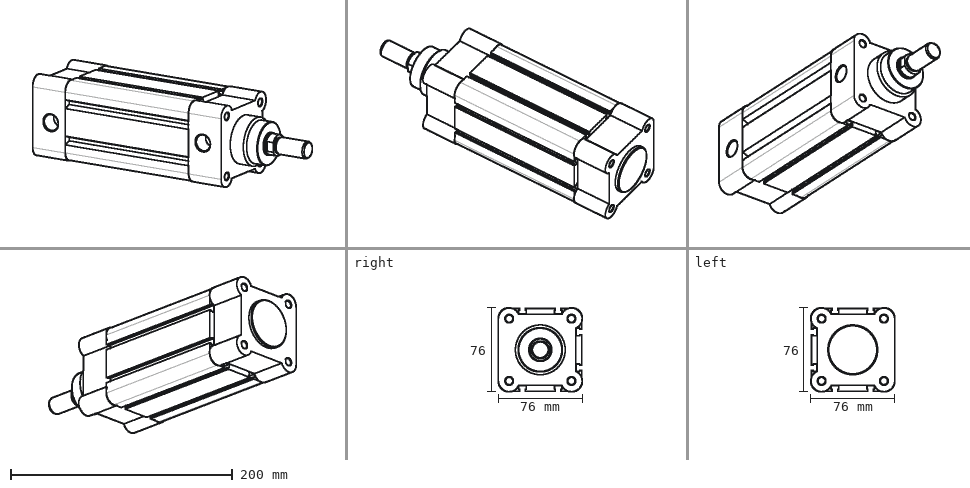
import cadquery as cq


boss_length = 3.5
cap_length = 34.8
tube_length = 131.8
collar_length = 14.0
collar_taper_length = 2.0
nose_length = 11.5
overall_length = 274.0
tube_start = boss_length + cap_length
front_cap_start = tube_start + tube_length
front_cap_end = front_cap_start + cap_length
collar_end = front_cap_end + collar_length
nose_start = collar_end + collar_taper_length
nose_end = nose_start + nose_length

cap_width = 76.0
cap_corner_radius = 9.5
recess_depth = 6.0
boss_radius = 22.5
boss_chamfer = 0.8
nose_radius = 20.0
nose_chamfer = 0.5
bolt_spacing = 56.2
bolt_hole_diameter = 6.5
bolt_hole_depth = 16.5
bolt_hole_chamfer = 0.5
port_diameter = 14.8
port_depth = 16.5
port_chamfer = 0.8
port_inset = 15.3
port_offset = 2.5

tube_width = 74.8
tube_corner_radius = 9.0
t_slot_offset = 16.2
t_slot_mouth_width = 5.0
t_slot_inner_width = 6.5
t_slot_lip = 2.0
t_slot_depth = 5.0
tapered_slot_offset = 17.0
tapered_slot_mouth_width = 8.2
tapered_slot_floor_width = 3.3
tapered_slot_depth = 6.0

flange_length = 1.6
flange_taper_length = 0.8
flange_radius = 10.5
shank_length = 7.5
shank_radius = 10.0
flat_length = 6.3
across_flats = 17.5
neck_length = 1.6
neck_radius = 7.0
thread_radius = 8.0
thread_start_chamfer_length = 0.8
tip_chamfer_length = 1.6
tip_chamfer_height = 0.8
flange_end = nose_end + flange_length
shank_start = flange_end + flange_taper_length
shank_end = shank_start + shank_length
neck_end = shank_end + neck_length


def section_at(x):
    """Workplane across the axis at x, with local axes Y and Z and its normal along +X."""
    return cq.Workplane("YZ", origin=(x, 0, 0))


def disc(x_start, x_end, radius):
    return section_at(x_start).circle(radius).extrude(x_end - x_start)


def revolve_about_axis(points):
    """Turn a closed (x, radius) outline about the X axis."""
    return cq.Workplane("XY").polyline(points).close().revolve(360, (0, 0, 0), (1, 0, 0))


def make_cap_block(x_start):
    """Square cap recessed between round corner lugs on every side except -Y."""
    half = cap_width / 2
    lug_centre = half - cap_corner_radius
    floor = half - recess_depth
    lug_span = 2 * lug_centre
    block = section_at(x_start).rect(2 * floor, 2 * floor).extrude(cap_length)
    lugs = section_at(x_start).rect(lug_span, lug_span, forConstruction=True).vertices()
    lugs = lugs.circle(cap_corner_radius).extrude(cap_length)
    port_wall = section_at(x_start).center(-(half + floor) / 2, 0).rect(recess_depth, lug_span)
    port_wall = port_wall.extrude(cap_length)
    return block.union(lugs).union(port_wall)


def chamfered_hole(face_plane, diameter, depth, chamfer):
    """Cutter for a blind hole at the origin of a plane whose normal points out of the face."""
    hole = face_plane.circle(diameter / 2).extrude(-depth)
    mouth = face_plane.circle(diameter / 2 + chamfer).extrude(-chamfer, taper=45)
    return hole.union(mouth)


def cut_bolt_holes(cap, face_x, outward):
    """Cut the four corner holes into the end face at face_x; outward is +1 or -1 along X."""
    half = bolt_spacing / 2
    for y in (-half, half):
        for z in (-half, half):
            face_plane = cq.Workplane(cq.Plane((face_x, y, z), (0, 1, 0), (outward, 0, 0)))
            hole = chamfered_hole(face_plane, bolt_hole_diameter, bolt_hole_depth, bolt_hole_chamfer)
            cap = cap.cut(hole)
    return cap


def cut_port(cap, x, z):
    """Cut the air port into the -Y face."""
    face_plane = cq.Workplane("XZ", origin=(x, -cap_width / 2, z))
    return cap.cut(chamfered_hole(face_plane, port_diameter, port_depth, port_chamfer))


def make_rear_cap():
    cap = make_cap_block(boss_length)
    cap = cut_bolt_holes(cap, boss_length, -1)
    cap = cut_port(cap, tube_start - port_inset, -port_offset)
    boss = disc(0, boss_length, boss_radius).faces("<X").chamfer(boss_chamfer)
    return cap.union(boss)


def make_front_cap():
    cap = make_cap_block(front_cap_start)
    cap = cut_bolt_holes(cap, front_cap_end, 1)
    cap = cut_port(cap, front_cap_start + port_inset, port_offset)
    collar = revolve_about_axis([
        (front_cap_end, 0),
        (front_cap_end, boss_radius),
        (collar_end, boss_radius),
        (nose_start, nose_radius),
        (nose_end - nose_chamfer, nose_radius),
        (nose_end, nose_radius - nose_chamfer),
        (nose_end, 0),
    ])
    return cap.union(collar)


def t_slot_cutter(offset):
    """T-slot in the +Z side of the tube, at the given Y."""
    top = tube_width / 2
    mouth = section_at(tube_start).center(offset, top - t_slot_depth / 2)
    mouth = mouth.rect(t_slot_mouth_width, t_slot_depth).extrude(tube_length)
    inner_height = t_slot_depth - t_slot_lip
    inner = section_at(tube_start).center(offset, top - t_slot_depth + inner_height / 2)
    inner = inner.rect(t_slot_inner_width, inner_height).extrude(tube_length)
    return mouth.union(inner)


def tapered_slot_cutter(offset):
    """Slot in the -Y side of the tube, at the given Z, narrowing towards its floor."""
    face = -tube_width / 2
    floor = face + tapered_slot_depth
    half_mouth = tapered_slot_mouth_width / 2
    half_floor = tapered_slot_floor_width / 2
    outline = [
        (face, offset - half_mouth),
        (face, offset + half_mouth),
        (floor, offset + half_floor),
        (floor, offset - half_floor),
    ]
    return section_at(tube_start).polyline(outline).close().extrude(tube_length)


def make_tube():
    tube = section_at(tube_start).rect(tube_width, tube_width).extrude(tube_length)
    tube = tube.edges("|X").fillet(tube_corner_radius)
    for side_angle in (0, -90, 180):
        for offset in (-t_slot_offset, t_slot_offset):
            cutter = t_slot_cutter(offset).rotate((0, 0, 0), (1, 0, 0), side_angle)
            tube = tube.cut(cutter)
    for offset in (-tapered_slot_offset, tapered_slot_offset):
        tube = tube.cut(tapered_slot_cutter(offset))
    return tube


def make_rod():
    rod = revolve_about_axis([
        (nose_end, 0),
        (nose_end, flange_radius),
        (flange_end, flange_radius),
        (shank_start, shank_radius),
        (shank_end, shank_radius),
        (shank_end, neck_radius),
        (neck_end, neck_radius),
        (neck_end + thread_start_chamfer_length, thread_radius),
        (overall_length - tip_chamfer_length, thread_radius),
        (overall_length, thread_radius - tip_chamfer_height),
        (overall_length, 0),
    ])
    flat_depth = shank_radius - across_flats / 2
    flat_centre = (across_flats + flat_depth) / 2
    for side in (-1, 1):
        cutter = section_at(shank_end - flat_length).center(side * flat_centre, 0)
        cutter = cutter.rect(flat_depth, 2 * shank_radius).extrude(flat_length)
        rod = rod.cut(cutter)
    return rod


rear_cap = make_rear_cap()
tube = make_tube()
front_cap = make_front_cap()
rod = make_rod()

result = cq.Compound.makeCompound([rear_cap.val(), tube.val(), front_cap.val(), rod.val()])